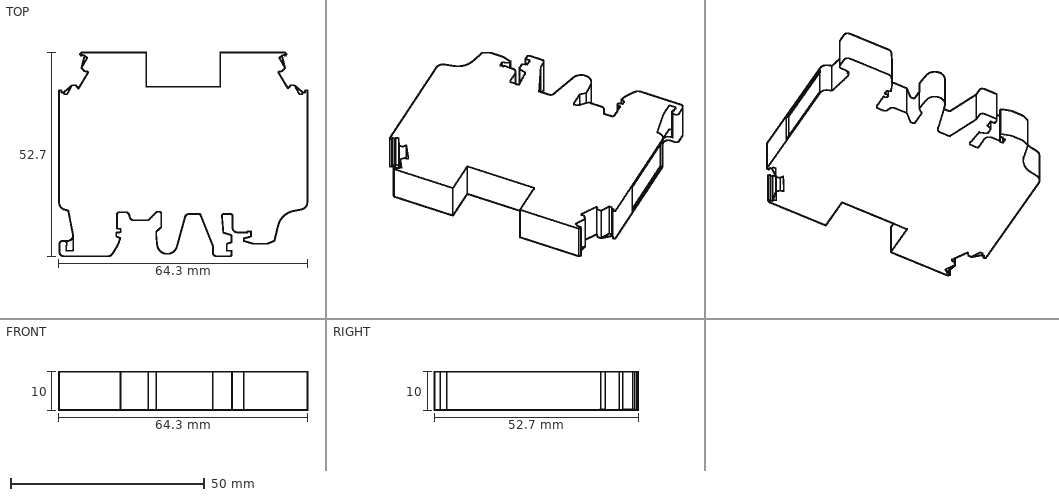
import cadquery as cq
import math

WIDTH = 64.26
HEIGHT = 52.72
THICKNESS = 10.0
HALF_WIDTH = WIDTH / 2

NOTCH_HALF_WIDTH = 9.54
NOTCH_FLOOR_Y = 43.86

SLOT_ROOF_Y = 10.92
HOOK_FLOOR_Y = 1.5
HOOK_TIP_Y = 4.0
HOOK_WALL_X = -28.44
HOOK_WALL_TOP = (-29.75, 11.8)
HOOK_WALL_BEND = (HOOK_WALL_X, 5.1)
SIDE_CORNER_Y = 12.4
SIDE_CORNER_RADIUS = 2.0

HOOK_WEB_THICKNESS = 1.4
CLIP_WEB_THICKNESS = 0.2

RECESS_DEPTH = 0.4
RECESS_MARGIN_Z = 0.62
RECESS_BOTTOM_Y = 13.96
RECESS_TOP_Y = 32.3
RECESS_BOTTOM_RAMP = 0.38
RECESS_TOP_RAMP = 0.67


HOOK_FOOT = [
    (-HALF_WIDTH, SIDE_CORNER_Y, SIDE_CORNER_RADIUS),
    HOOK_WALL_TOP,
    HOOK_WALL_BEND,
    (HOOK_WALL_X, HOOK_FLOOR_Y, 0.25),
    (-30.3, HOOK_FLOOR_Y),
    (-30.3, 2.65),
    (-30.07, 2.9),
    (-30.07, 3.45),
    (-30.6, HOOK_TIP_Y),
    (-32.0, HOOK_TIP_Y, 0.75),
    (-32.0, 0, 1.1),
    (-18.7, 0, 1.5),
    (-16.9, 2.85, 6.0),
    (-16.24, 4.75),
    (-17.26, 5.15),
]

RAIL_STOP = [
    (-17.26, 6.15),
    (-16.12, 6.15, 0.5),
    (-16.12, 7.2, 0.5),
    (-17.1, 7.2),
    (-17.1, 11.4, 0.55),
    (-14.2, 11.4, 0.85),
    (-13.6, 9.27, 1.2),
    (-9.1, 9.27),
    (-6.85, 11.5, 0.3),
    (-5.73, 11.5, 0.4),
]

SPRING_TONGUE = [
    (-5.73, 7.55),
    (-7.0, 6.38),
    (-7.0, 5.2),
    (-5.41, -11.32, 2.65),
    (0.7, SLOT_ROOF_Y, 1.0),
]

MIDDLE_FOOT = [
    (4.33, SLOT_ROOF_Y, 0.2),
    (7.66, 2.66),
    (7.66, 0, 0.9),
    (12.53, 0, 0.5),
    (12.53, 1.49),
    (11.25, 1.49),
    (11.25, 3.17),
    (12.53, 3.63),
    (12.53, 5.5, 0.5),
    (10.4, 6.15),
    (10.0, SLOT_ROOF_Y, 0.4),
]

RELEASE_FOOT = [
    (12.67, SLOT_ROOF_Y, 0.3),
    (12.67, 6.15, 1.4),
    (16.56, 6.15),
    (16.56, 6.38),
    (17.5, 6.38),
    (17.5, 5.17),
    (15.6, 4.63),
    (15.6, 3.98),
    (18.2, 3.2),
    (21.8, 3.2, 2.2),
    (23.6, 4.05, 0.2),
    (25.3, 11.05, 5.0),
    (HALF_WIDTH, SIDE_CORNER_Y, SIDE_CORNER_RADIUS),
]

LOWER_CLIP_ROOT = (30.9, 42.4)
LOWER_CLIP_TIP = (28.75, 44.25)
UPPER_CLIP_TIP = (26.33, 48.7)
UPPER_CLIP_SHOULDER = (25.55, 51.9)

CORNER_CLIP = [
    (HALF_WIDTH, 43.0, 0.2),
    (31.5, 43.0),
    (31.44, 42.4),
    LOWER_CLIP_ROOT,
    LOWER_CLIP_TIP,
    (27.75, 44.25, 0.2),
    (27.1, 43.4),
    (24.5, 47.75, 0.2),
    (25.5, 47.8),
    UPPER_CLIP_TIP,
    UPPER_CLIP_SHOULDER,
    (26.1, 52.0),
    (26.4, 51.8),
    (26.74, 52.3),
    (26.2, HEIGHT),
]

LOWER_CLIP_POCKET = [LOWER_CLIP_ROOT, (30.73, 41.95), (30.0, 41.95), LOWER_CLIP_TIP]
UPPER_CLIP_POCKET = [UPPER_CLIP_TIP, UPPER_CLIP_SHOULDER, (24.8, 51.35)]

WALL_SLOPE = (HOOK_WALL_BEND[0] - HOOK_WALL_TOP[0]) / (HOOK_WALL_BEND[1] - HOOK_WALL_TOP[1])
WALL_FOOT_X = HOOK_WALL_BEND[0] + (HOOK_TIP_Y - HOOK_WALL_BEND[1]) * WALL_SLOPE
WEB_OVERLAP_X = -27.0
WEB_OVERLAP_Y = 1.2
HOOK_WEB = [
    HOOK_WALL_TOP,
    (WALL_FOOT_X, HOOK_TIP_Y, 1.4),
    (-30.6, HOOK_TIP_Y),
    (-30.6, WEB_OVERLAP_Y),
    (WEB_OVERLAP_X, WEB_OVERLAP_Y),
]


def mirrored(corners):
    """Mirror corners across the YZ plane, reversed so the outline keeps its direction."""
    return [(-corner[0], *corner[1:]) for corner in reversed(corners)]


def unit_vector(start, end):
    length = math.dist(start, end)
    return ((end[0] - start[0]) / length, (end[1] - start[1]) / length)


def rounding(previous, corner, following, radius):
    """Return the start, middle and end of the arc that rounds a corner."""
    back = unit_vector(corner, previous)
    ahead = unit_vector(corner, following)
    half_angle = math.acos(back[0] * ahead[0] + back[1] * ahead[1]) / 2
    setback = radius / math.tan(half_angle)
    apex_distance = radius / math.sin(half_angle) - radius
    bisector = unit_vector((0, 0), (back[0] + ahead[0], back[1] + ahead[1]))

    def along(direction, distance):
        return (corner[0] + direction[0] * distance, corner[1] + direction[1] * distance)

    return along(back, setback), along(bisector, apex_distance), along(ahead, setback)


def prism(corners, height):
    """Extrude a closed outline of sharp and rounded corners from Z = 0."""
    points = [corner[:2] for corner in corners]
    start = ((points[-1][0] + points[0][0]) / 2, (points[-1][1] + points[0][1]) / 2)
    sketch = cq.Workplane("XY").moveTo(*start)
    for index, corner in enumerate(corners):
        if len(corner) == 2:
            sketch = sketch.lineTo(*corner)
            continue
        following = points[(index + 1) % len(points)]
        arc_start, arc_middle, arc_end = rounding(points[index - 1], points[index], following, corner[2])
        sketch = sketch.lineTo(*arc_start).threePointArc(arc_middle, arc_end)
    return sketch.close().extrude(height)


def housing():
    notch = [
        (NOTCH_HALF_WIDTH, HEIGHT),
        (NOTCH_HALF_WIDTH, NOTCH_FLOOR_Y),
        (-NOTCH_HALF_WIDTH, NOTCH_FLOOR_Y),
        (-NOTCH_HALF_WIDTH, HEIGHT),
    ]
    rail_side = HOOK_FOOT + RAIL_STOP + SPRING_TONGUE + MIDDLE_FOOT + RELEASE_FOOT
    return prism(rail_side + CORNER_CLIP + notch + mirrored(CORNER_CLIP), THICKNESS)


def clip_pockets():
    """Pockets of all four clips, each leaving a thin web at the back face."""
    pockets = cq.Workplane("XY")
    for pocket in (LOWER_CLIP_POCKET, UPPER_CLIP_POCKET):
        for corners in (pocket, mirrored(pocket)):
            pockets = pockets.add(prism(corners, THICKNESS).translate((0, 0, CLIP_WEB_THICKNESS)))
    return pockets.combine()


def label_recess():
    """Shallow recess in the -X side with ramped ends."""
    floor_x = -HALF_WIDTH + RECESS_DEPTH
    corners = [
        (-HALF_WIDTH, RECESS_BOTTOM_Y),
        (floor_x, RECESS_BOTTOM_Y + RECESS_BOTTOM_RAMP),
        (floor_x, RECESS_TOP_Y - RECESS_TOP_RAMP),
        (-HALF_WIDTH, RECESS_TOP_Y),
    ]
    recess = prism(corners, THICKNESS - 2 * RECESS_MARGIN_Z)
    return recess.translate((0, 0, RECESS_MARGIN_Z))


result = (
    housing()
    .union(prism(HOOK_WEB, HOOK_WEB_THICKNESS))
    .cut(clip_pockets())
    .cut(label_recess())
)